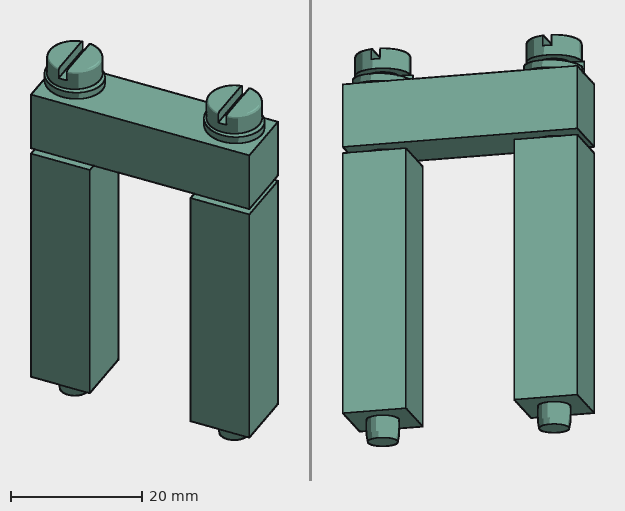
import cadquery as cq
import math

total_height = 61.6
bar_length = 37.0
bar_side = 10.0
post_height = 41.45
bar_gap = 1.0

tip_length = 3.5
tip_taper_height = 1.05
tip_taper_inset = 0.2
thread_diameter = 5.0
neck_diameter = 4.6
head_diameter = 8.5
head_height = 3.3
head_rounding = 0.5
slot_width = 1.35
slot_depth = 1.8

washer_outer_diameter = 9.25
washer_inner_diameter = 5.1
washer_split = 1.0

post_top = tip_length + post_height
bar_bottom = post_top + bar_gap
bar_top = bar_bottom + bar_side
head_bottom = total_height - head_height
screw_offset = (bar_length - bar_side) / 2
screw_places = [-screw_offset, screw_offset]

washer_thickness = (head_bottom - bar_top) / 2
washer_rise = head_bottom - bar_top - washer_thickness


def cylinder(diameter, bottom, top):
    """Upright cylinder on the Z axis between two levels."""
    return cq.Workplane("XY").workplane(offset=bottom).circle(diameter / 2).extrude(top - bottom)


def make_bar():
    """Cross bar with a screw hole at each end."""
    bar = cq.Workplane("XY").box(bar_length, bar_side, bar_side, centered=(True, True, False))
    bar = bar.translate((0, 0, bar_bottom))
    for x in screw_places:
        bar = bar.cut(cylinder(neck_diameter, bar_bottom, bar_top).translate((x, 0, 0)))
    return bar


def make_post(x):
    """Square post with the threaded hole running through it."""
    post = cq.Workplane("XY").box(bar_side, bar_side, post_height, centered=(True, True, False))
    post = post.translate((0, 0, tip_length))
    post = post.cut(cylinder(thread_diameter, tip_length, post_top))
    return post.translate((x, 0, 0))


def make_screw(x):
    """Slotted cheese-head screw with a reduced neck and a tapered tip."""
    thread_radius = thread_diameter / 2
    neck_radius = neck_diameter / 2
    shank = (
        cq.Workplane("XZ")
        .moveTo(0, 0)
        .lineTo(thread_radius - tip_taper_inset, 0)
        .lineTo(thread_radius, tip_taper_height)
        .lineTo(thread_radius, post_top)
        .lineTo(neck_radius, post_top)
        .lineTo(neck_radius, head_bottom)
        .lineTo(0, head_bottom)
        .close()
        .revolve(360, (0, 0, 0), (0, 1, 0))
    )
    head = cylinder(head_diameter, head_bottom, total_height).faces(">Z").edges().fillet(head_rounding)
    slot = (
        cq.Workplane("XY")
        .box(slot_width, head_diameter, slot_depth, centered=(True, True, False))
        .translate((0, 0, total_height - slot_depth))
    )
    return shank.union(head.cut(slot)).translate((x, 0, 0))


def make_washer(x):
    """Left-hand spring coil, split on the -X side, rising to its upper end."""
    outer_radius = washer_outer_diameter / 2
    inner_radius = washer_inner_diameter / 2
    middle_radius = (outer_radius + inner_radius) / 2
    split_angle = math.degrees(2 * math.asin(washer_split / 2 / outer_radius))
    coil_turns = 1 - split_angle / 360
    path = cq.Wire.makeHelix(washer_rise / coil_turns, washer_rise, middle_radius, lefthand=True)
    coil = (
        cq.Workplane("XZ")
        .center(middle_radius, washer_thickness / 2)
        .rect(outer_radius - inner_radius, washer_thickness)
        .sweep(cq.Workplane(path), isFrenet=True)
    )
    lower_end_angle = 180 - split_angle / 2
    coil = coil.rotate((0, 0, 0), (0, 0, 1), lower_end_angle)
    return coil.translate((x, 0, bar_top))


bar = make_bar()
posts = [make_post(x) for x in screw_places]
screws = [make_screw(x) for x in screw_places]
washers = [make_washer(x) for x in screw_places]

result = cq.Compound.makeCompound([body.solids().val() for body in [bar, *posts, *screws, *washers]])